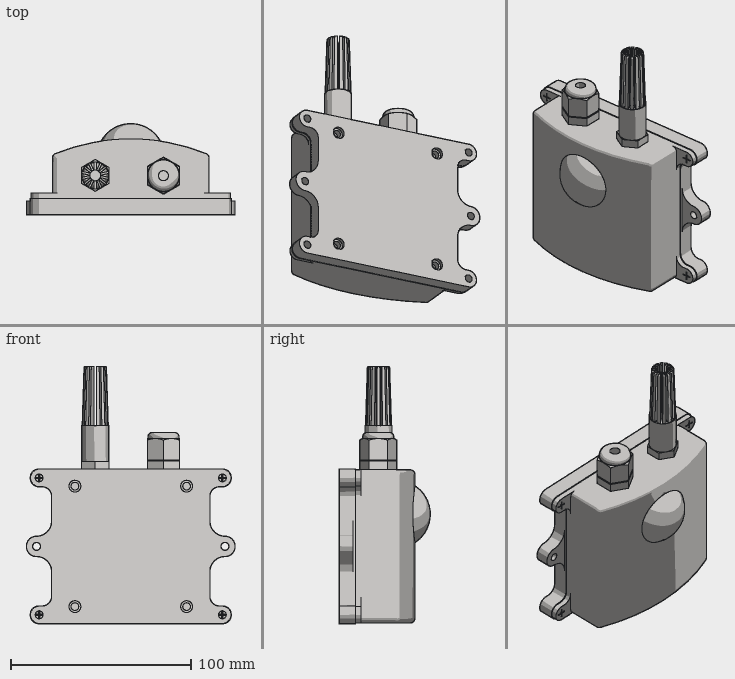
import cadquery as cq
import math

TOTAL_HEIGHT = 142.9

BASE_HALF_WIDTH = 44.0
BASE_HALF_HEIGHT = 43.0
BASE_THICKNESS = 9.0
CENTER_Z = BASE_HALF_HEIGHT
EAR_X = 50.9
EAR_RADIUS = 5.0
EAR_FILLET = 5.1
EAR_Z = BASE_HALF_HEIGHT - EAR_RADIUS
SCREW_HOLE_DIAMETER = 4.3

TAB_X = 52.3
TAB_RADIUS = 5.7
TAB_THICKNESS = 7.7

BLIND_HOLE_X = 31.0
BLIND_HOLE_Z = 33.5
BLIND_HOLE_DIAMETER = 4.3
BLIND_HOLE_DEPTH = 5.7
COUNTERBORE_DIAMETER = 6.6
COUNTERBORE_DEPTH = 2.1

COVER_STEP = 0.5
COVER_HALF_WIDTH = BASE_HALF_WIDTH - COVER_STEP
COVER_HALF_HEIGHT = BASE_HALF_HEIGHT - COVER_STEP
COVER_TOP_Z = CENTER_Z + COVER_HALF_HEIGHT
COVER_EAR_END_Y = 12.1
COVER_EDGE_FILLET = 2.7
ROOF_APEX_Y = 42.2
ROOF_EDGE_Y = 33.3
CROSS_SLOT_LENGTH = 4.9
CROSS_SLOT_WIDTH = 0.5

DOME_RADIUS = 18.9
DOME_APEX_Y = 50.7
DOME_Z = 60.9
DOME_SEAT_Y = 40.0

PROBE_X = -19.7
PROBE_Y = 21.9
PROBE_HEX_FLATS = 15.3
PROBE_HEX_HEIGHT = 4.6
PROBE_RADIUS = 7.6
PROBE_SLOT_START_Z = 110.0
PROBE_CAGE_RADIUS = 7.3
PROBE_TIP_RADIUS = 6.3
PROBE_TIP_FILLET = 0.9
PROBE_BORE_RADIUS = 3.0
PROBE_BORE_END_Z = 100.0
PROBE_SLOT_COUNT = 14
PROBE_SLOT_WIDTH = 1.1

GLAND_X = 18.1
GLAND_Y = 21.7
GLAND_HEX_FLATS = 17.9
GLAND_BASE_HEIGHT = 4.9
GLAND_GROOVE_HEIGHT = 0.5
GLAND_GROOVE_DEPTH = 0.3
GLAND_NUT_TOP_Z = 102.9
GLAND_COLLAR_RADIUS = 8.7
GLAND_TOP_Z = 106.3
GLAND_TOP_FILLET = 2.6
GLAND_BORE_DIAMETER = 5.6
GLAND_BORE_DEPTH = 11.5
NUT_CHAMFER_ANGLE = math.radians(30)

HEX_HALF_ANGLE = math.pi / 6

CORNERS = [(sx, sz) for sx in (-1, 1) for sz in (-1, 1)]


def face_plane(y):
    """Plane at depth y with local axes X and Z, its origin on the box centre."""
    return cq.Workplane("XZ", origin=(0, y, CENTER_Z))


def eared_plate(start_y, end_y, inset):
    """Plate with a round ear at each corner, its outline moved inward by inset."""
    half_width = BASE_HALF_WIDTH - inset
    half_height = BASE_HALF_HEIGHT - inset
    ear_radius = EAR_RADIUS - inset
    ear_inner = EAR_Z - ear_radius
    fillet_x = half_width + EAR_FILLET
    fillet_z = ear_inner - EAR_FILLET
    reach = EAR_FILLET * (1 - math.sqrt(0.5))
    half = (
        face_plane(start_y)
        .moveTo(0, -half_height)
        .lineTo(EAR_X, -half_height)
        .threePointArc((EAR_X + ear_radius, -EAR_Z), (EAR_X, -ear_inner))
        .lineTo(fillet_x, -ear_inner)
        .threePointArc((half_width + reach, reach - ear_inner), (half_width, -fillet_z))
        .lineTo(half_width, fillet_z)
        .threePointArc((half_width + reach, ear_inner - reach), (fillet_x, ear_inner))
        .lineTo(EAR_X, ear_inner)
        .threePointArc((EAR_X + ear_radius, EAR_Z), (EAR_X, half_height))
        .lineTo(0, half_height)
        .close()
        .extrude(start_y - end_y)
    )
    return half.union(half.mirror("YZ"))


def mounting_tabs():
    """Middle tabs: round ends that flare into the side walls."""
    flare = TAB_X - BASE_HALF_WIDTH
    reach = flare * (1 - math.sqrt(0.5))
    root_z = TAB_RADIUS + flare
    flare_x = BASE_HALF_WIDTH + reach
    flare_z = TAB_RADIUS + reach
    tab = (
        face_plane(0)
        .moveTo(0, -root_z)
        .lineTo(BASE_HALF_WIDTH, -root_z)
        .threePointArc((flare_x, -flare_z), (TAB_X, -TAB_RADIUS))
        .threePointArc((TAB_X + TAB_RADIUS, 0), (TAB_X, TAB_RADIUS))
        .threePointArc((flare_x, flare_z), (BASE_HALF_WIDTH, root_z))
        .lineTo(0, root_z)
        .close()
        .extrude(-TAB_THICKNESS)
    )
    return tab.union(tab.mirror("YZ"))


def blind_hole_tool(diameter, depth):
    """Four cylinders that cut one step of the blind holes."""
    places = [(sx * BLIND_HOLE_X, sz * BLIND_HOLE_Z) for sx, sz in CORNERS]
    return face_plane(0).pushPoints(places).circle(diameter / 2).extrude(-depth)


def make_base():
    """Eared plate with side tabs, screw holes and counterbored blind holes."""
    screw_places = [(sx * EAR_X, sz * EAR_Z) for sx, sz in CORNERS]
    screw_places += [(-TAB_X, 0), (TAB_X, 0)]
    screw_holes = (
        face_plane(0).pushPoints(screw_places).circle(SCREW_HOLE_DIAMETER / 2).extrude(-BASE_THICKNESS)
    )
    return (
        eared_plate(0, BASE_THICKNESS, 0)
        .union(mounting_tabs())
        .cut(screw_holes)
        .cut(blind_hole_tool(COUNTERBORE_DIAMETER, COUNTERBORE_DEPTH))
        .cut(blind_hole_tool(BLIND_HOLE_DIAMETER, BLIND_HOLE_DEPTH))
    )


def make_cover(dome):
    """Arched box on an eared flange, with a seat for the dome."""
    box = (
        cq.Workplane("XY", origin=(0, 0, CENTER_Z - COVER_HALF_HEIGHT))
        .moveTo(-COVER_HALF_WIDTH, BASE_THICKNESS)
        .lineTo(COVER_HALF_WIDTH, BASE_THICKNESS)
        .lineTo(COVER_HALF_WIDTH, ROOF_EDGE_Y)
        .threePointArc((0, ROOF_APEX_Y), (-COVER_HALF_WIDTH, ROOF_EDGE_Y))
        .close()
        .extrude(2 * COVER_HALF_HEIGHT)
        .faces("not <Y")
        .edges("not <Y")
        .fillet(COVER_EDGE_FILLET)
    )
    slot_places = [(sx * EAR_X, sz * EAR_Z) for sx, sz in CORNERS]
    cover = box.union(eared_plate(BASE_THICKNESS, COVER_EAR_END_Y, COVER_STEP))
    for angle in (0, 90):
        slots = (
            face_plane(BASE_THICKNESS)
            .pushPoints(slot_places)
            .slot2D(CROSS_SLOT_LENGTH, CROSS_SLOT_WIDTH, angle)
            .extrude(BASE_THICKNESS - COVER_EAR_END_Y)
        )
        cover = cover.cut(slots)
    return cover.cut(dome)


def make_dome():
    """Spherical cap with a flat back."""
    sphere = cq.Workplane("XY").sphere(DOME_RADIUS).translate((0, DOME_APEX_Y - DOME_RADIUS, DOME_Z))
    return sphere.intersect(
        cq.Workplane("XZ", origin=(0, DOME_SEAT_Y, DOME_Z))
        .circle(DOME_RADIUS)
        .extrude(DOME_SEAT_Y - DOME_APEX_Y)
    )


def hexagon(x, y, bottom_z, top_z, flats):
    """Hexagonal prism with two flats facing -X and +X."""
    corner_diameter = flats / math.cos(HEX_HALF_ANGLE)
    return (
        cq.Workplane("XY")
        .polygon(6, corner_diameter)
        .extrude(top_z - bottom_z)
        .rotate((0, 0, 0), (0, 0, 1), 90)
        .translate((x, y, bottom_z))
    )


def make_probe():
    """Hexagon foot, round stem and a tapered cage of slotted ribs."""
    hex_top = COVER_TOP_Z + PROBE_HEX_HEIGHT
    foot = hexagon(PROBE_X, PROBE_Y, COVER_TOP_Z, hex_top, PROBE_HEX_FLATS)
    profile = (
        cq.Workplane("XZ")
        .moveTo(0, hex_top)
        .lineTo(PROBE_RADIUS, hex_top)
        .lineTo(PROBE_RADIUS, PROBE_SLOT_START_Z)
        .lineTo(PROBE_CAGE_RADIUS, PROBE_SLOT_START_Z)
        .lineTo(PROBE_TIP_RADIUS, TOTAL_HEIGHT - PROBE_TIP_FILLET)
        .radiusArc((PROBE_TIP_RADIUS - PROBE_TIP_FILLET, TOTAL_HEIGHT), -PROBE_TIP_FILLET)
        .lineTo(PROBE_BORE_RADIUS, TOTAL_HEIGHT)
        .lineTo(PROBE_BORE_RADIUS, PROBE_BORE_END_Z)
        .lineTo(0, PROBE_BORE_END_Z)
        .close()
    )
    stem = profile.revolve(360, (0, 0, 0), (0, 1, 0))
    slot_height = TOTAL_HEIGHT - PROBE_SLOT_START_Z
    slot = (
        cq.Workplane("XY", origin=(0, 0, PROBE_SLOT_START_Z))
        .center(0, PROBE_RADIUS / 2)
        .rect(PROBE_SLOT_WIDTH, PROBE_RADIUS)
        .extrude(slot_height)
    )
    for index in range(PROBE_SLOT_COUNT):
        angle = index * 360 / PROBE_SLOT_COUNT
        stem = stem.cut(slot.rotate((0, 0, 0), (0, 0, 1), angle))
    return foot.union(stem.translate((PROBE_X, PROBE_Y, 0)))


def make_gland():
    """Hexagon base, neck groove, chamfered hexagon nut and a rounded collar with a bore."""
    base_top = COVER_TOP_Z + GLAND_BASE_HEIGHT
    nut_bottom = base_top + GLAND_GROOVE_HEIGHT
    groove_flats = GLAND_HEX_FLATS - 2 * GLAND_GROOVE_DEPTH
    base = hexagon(GLAND_X, GLAND_Y, COVER_TOP_Z, base_top, GLAND_HEX_FLATS)
    neck = hexagon(GLAND_X, GLAND_Y, base_top, nut_bottom, groove_flats)
    nut = hexagon(GLAND_X, GLAND_Y, nut_bottom, GLAND_NUT_TOP_Z, GLAND_HEX_FLATS)
    corner_radius = GLAND_HEX_FLATS / 2 / math.cos(HEX_HALF_ANGLE)
    chamfer_radial = corner_radius - GLAND_HEX_FLATS / 2
    chamfer_height = chamfer_radial * math.tan(NUT_CHAMFER_ANGLE)
    envelope = (
        cq.Workplane("XY", origin=(GLAND_X, GLAND_Y, nut_bottom))
        .circle(corner_radius)
        .extrude(GLAND_NUT_TOP_Z - nut_bottom)
        .faces(">Z")
        .chamfer(chamfer_height, chamfer_radial)
    )
    collar = (
        cq.Workplane("XY", origin=(GLAND_X, GLAND_Y, GLAND_NUT_TOP_Z))
        .circle(GLAND_COLLAR_RADIUS)
        .extrude(GLAND_TOP_Z - GLAND_NUT_TOP_Z)
        .faces(">Z")
        .edges()
        .fillet(GLAND_TOP_FILLET)
    )
    bore = (
        cq.Workplane("XY", origin=(GLAND_X, GLAND_Y, GLAND_TOP_Z))
        .circle(GLAND_BORE_DIAMETER / 2)
        .extrude(-GLAND_BORE_DEPTH)
    )
    return base.union(neck).union(nut.intersect(envelope)).union(collar).cut(bore)


base = make_base()
dome = make_dome()
cover = make_cover(dome)
probe = make_probe()
gland = make_gland()

bodies = [base, cover, dome, probe, gland]
result = cq.Compound.makeCompound([body.solids().val() for body in bodies])